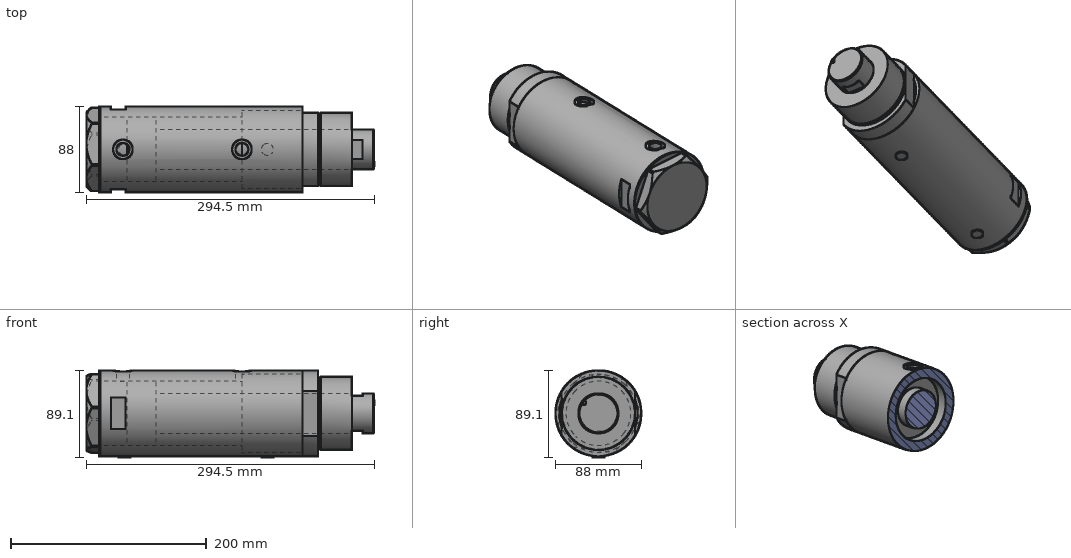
import cadquery as cq
import math


tube_diameter = 88.0
bore_diameter = 66.0
head_bore_diameter = 80.0
collar_diameter = 75.0
rod_diameter = 41.0

hexagon_end_x = 12.8
tube_start_x = 14.3
cap_spigot_end_x = 41.3
head_spigot_start_x = 159.0
tube_end_x = 221.0
head_flange_end_x = 237.0
groove_end_x = 240.0
collar_end_x = 271.5
rod_flats_end_x = 282.5
rod_end_x = 294.0

hexagon_across_flats = 75.5
hexagon_corner_diameter = 86.0
hexagon_face_diameter = 75.6
hexagon_turn = 8.3

tube_flats_start_x = 25.0
tube_flats_end_x = 40.2
tube_across_flats = 82.0

port_xs = (37.3, head_spigot_start_x)
port_diameter = 13.1
spotface_diameter = 20.0
spotface_height = 42.8

boss_xs = (39.0, 185.0)
boss_diameter = 12.2
boss_projection = 1.1

head_across_flats = 75.0
groove_depth = 1.0

piston_length = 30.0
rod_across_flats = 36.0
rod_end_chamfer = 1.0
rod_stud_diameter = 4.4
rod_stud_radius = 18.4
rod_stud_angle = 144.0
rod_stud_projection = 0.47


def cylinder(diameter, start_x, end_x):
    """Round bar along the X axis."""
    return cq.Workplane("YZ", origin=(start_x, 0, 0)).circle(diameter / 2).extrude(end_x - start_x)


def upright_cylinder(diameter, x, bottom_z, top_z):
    """Round bar along Z, centred on Y = 0."""
    return cq.Workplane("XY", origin=(x, 0, bottom_z)).circle(diameter / 2).extrude(top_z - bottom_z)


def flats_slab(across_flats, normal, start_x, end_x):
    """Slab along X whose two faces square to `normal` lie `across_flats` apart."""
    length = end_x - start_x
    width = 2 * tube_diameter
    sides = (across_flats, width) if normal == "Y" else (width, across_flats)
    centre = ((start_x + end_x) / 2, 0, 0)
    return cq.Workplane("XY").box(length, *sides).translate(centre)


def cut_flats(bar, across_flats, normal, start_x, end_x):
    """Cut a pair of parallel flats into a round bar between two stations."""
    band = cylinder(2 * tube_diameter, start_x, end_x)
    return bar.cut(band.cut(flats_slab(across_flats, normal, start_x, end_x)))


def make_cap():
    hexagon = (
        cq.Workplane("YZ")
        .polygon(6, hexagon_across_flats / math.cos(math.pi / 6))
        .extrude(hexagon_end_x)
        .rotate((0, 0, 0), (1, 0, 0), -hexagon_turn)
    )
    corner_chamfer = (hexagon_corner_diameter - hexagon_face_diameter) / 2
    corner_envelope = cylinder(hexagon_corner_diameter, 0, hexagon_end_x).faces("<X").chamfer(corner_chamfer)
    flange = cylinder(tube_diameter, hexagon_end_x, tube_start_x)
    spigot = cylinder(bore_diameter, tube_start_x, cap_spigot_end_x)
    return hexagon.intersect(corner_envelope).union(flange).union(spigot)


def make_tube():
    tube = cylinder(tube_diameter, tube_start_x, tube_end_x)
    tube = cut_flats(tube, tube_across_flats, "Y", tube_flats_start_x, tube_flats_end_x)
    boss_bottom_z = -tube_diameter / 2 - boss_projection
    for x in boss_xs:
        tube = tube.union(upright_cylinder(boss_diameter, x, boss_bottom_z, -bore_diameter / 2))
    for x in port_xs:
        tube = tube.cut(upright_cylinder(spotface_diameter, x, spotface_height, tube_diameter))
        tube = tube.cut(upright_cylinder(port_diameter, x, 0, tube_diameter))
    tube = tube.cut(cylinder(bore_diameter, tube_start_x, tube_end_x))
    return tube.cut(cylinder(head_bore_diameter, head_spigot_start_x, tube_end_x))


def make_head():
    collar_radius = collar_diameter / 2
    profile = [
        (head_spigot_start_x, rod_diameter / 2),
        (head_spigot_start_x, head_bore_diameter / 2),
        (tube_end_x, head_bore_diameter / 2),
        (tube_end_x, tube_diameter / 2),
        (head_flange_end_x, tube_diameter / 2),
        (head_flange_end_x, collar_radius),
        (head_flange_end_x + groove_depth, collar_radius - groove_depth),
        (groove_end_x - groove_depth, collar_radius - groove_depth),
        (groove_end_x, collar_radius),
        (collar_end_x, collar_radius),
        (collar_end_x, rod_diameter / 2),
    ]
    head = cq.Workplane("XZ").polyline(profile).close().revolve(360, (0, 0, 0), (1, 0, 0))
    return cut_flats(head, head_across_flats, "Y", tube_end_x, head_flange_end_x)


def make_rod():
    rod = cylinder(rod_diameter, cap_spigot_end_x, rod_end_x).faces(">X").chamfer(rod_end_chamfer)
    rod = cut_flats(rod, rod_across_flats, "Z", collar_end_x, rod_flats_end_x)
    piston = cylinder(bore_diameter, cap_spigot_end_x, cap_spigot_end_x + piston_length)
    angle = math.radians(rod_stud_angle)
    stud_centre = (0, rod_stud_radius * math.cos(angle), rod_stud_radius * math.sin(angle))
    stud_end_x = rod_end_x + rod_stud_projection
    end_face = cylinder(rod_diameter - 2 * rod_end_chamfer, rod_flats_end_x, stud_end_x)
    stud = cylinder(rod_stud_diameter, rod_flats_end_x, stud_end_x).translate(stud_centre)
    stud = stud.intersect(end_face)
    return rod.union(piston).union(stud)


cap = make_cap()
tube = make_tube()
head = make_head()
rod = make_rod()

result = cq.Compound.makeCompound([cap.val(), tube.val(), head.val(), rod.val()])